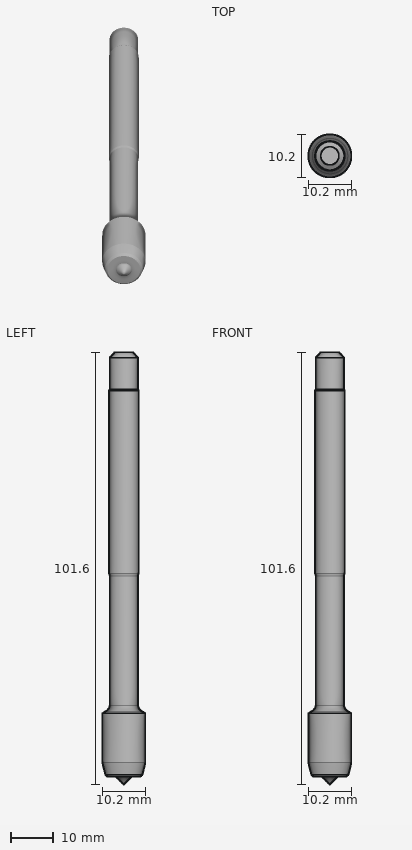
import cadquery as cq
import math

total_length = 101.6

tip_height = 1.8
tip_radius = 1.8

head_radius = 10.2 / 2
nose_top_z = 5.3
nose_edge_z = 2.3
nose_edge_radius = 4.4
nose_bulge = 0.05
bottom_bevel = 0.5
shoulder_z = 16.8
shoulder_slope = math.radians(30)
neck_fillet = 1.6

shaft_radius = 6.7 / 2
end_chamfer = 1.3
end_face_radius = 2.1

band_radius = 7.0 / 2
band_bottom_z = 49.1
band_top_z = 92.9
band_bottom_taper = 0.6
band_top_taper = 0.3


def make_striker():
    """Revolved rod with its head, shaft, thicker band and chamfered end."""
    bottom_radius = nose_edge_radius - bottom_bevel
    nose_mid_radius = (head_radius + nose_edge_radius) / 2 + nose_bulge
    nose_mid_z = (nose_top_z + nose_edge_z) / 2

    corner_z = shoulder_z + (head_radius - shaft_radius) * math.tan(shoulder_slope)
    tangent_length = neck_fillet * math.tan((math.pi / 2 - shoulder_slope) / 2)
    fillet_low = (
        shaft_radius + tangent_length * math.cos(shoulder_slope),
        corner_z - tangent_length * math.sin(shoulder_slope),
    )
    fillet_high = (shaft_radius, corner_z + tangent_length)

    profile = (
        cq.Workplane("XZ")
        .moveTo(0, tip_height)
        .lineTo(bottom_radius, tip_height)
        .lineTo(nose_edge_radius, nose_edge_z)
        .threePointArc((nose_mid_radius, nose_mid_z), (head_radius, nose_top_z))
        .lineTo(head_radius, shoulder_z)
        .lineTo(*fillet_low)
        .radiusArc(fillet_high, neck_fillet)
        .lineTo(shaft_radius, band_bottom_z)
        .lineTo(band_radius, band_bottom_z + band_bottom_taper)
        .lineTo(band_radius, band_top_z - band_top_taper)
        .lineTo(shaft_radius, band_top_z)
        .lineTo(shaft_radius, total_length - end_chamfer)
        .lineTo(end_face_radius, total_length)
        .lineTo(0, total_length)
        .close()
    )
    return profile.revolve(360, (0, 0, 0), (0, 1, 0))


def make_tip():
    """Pointed cone seated on the underside of the head."""
    return (
        cq.Workplane("XZ")
        .lineTo(tip_radius, tip_height)
        .lineTo(0, tip_height)
        .close()
        .revolve(360, (0, 0, 0), (0, 1, 0))
    )


striker = make_striker()
tip = make_tip()
result = cq.Compound.makeCompound([striker.val(), tip.val()])